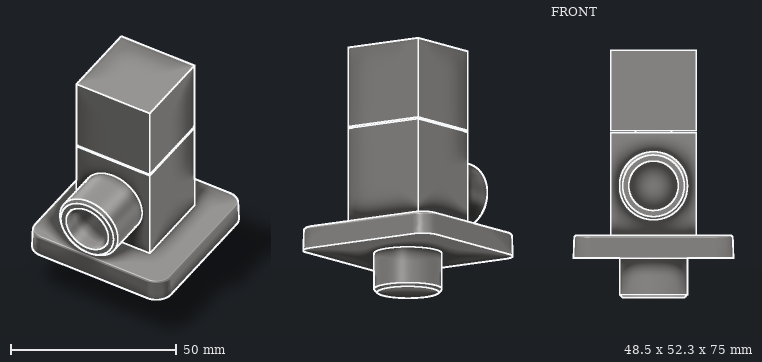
import cadquery as cq


flange_side = 48.5
flange_height = 7.0
flange_corner_radius = 5.25
flange_draft_angle = 2.0
flange_edge_radius = 1.0

block_side = 26.0
block_top = 38.0
knob_gap = 0.5
knob_top = 63.0
stem_diameter = 11.0

total_height = 75.0
total_depth = 52.3

pipe_diameter = 20.6
pipe_chamfer = 1.0
inlet_length = total_height - knob_top
outlet_reach = total_depth - flange_side / 2
outlet_height = 21.9
outlet_length = outlet_reach - block_side / 2
outlet_bore_diameter = 15.0


def make_pipe(length):
    """Plain pipe end along +Z with a chamfered tip."""
    pipe = cq.Workplane("XY").circle(pipe_diameter / 2).extrude(length)
    return pipe.faces(">Z").edges().chamfer(pipe_chamfer)


def make_outlet():
    """Side pipe, bored as deep as the pipe is long."""
    bore = cq.Workplane("XY").circle(outlet_bore_diameter / 2).extrude(outlet_length)
    outlet = make_pipe(outlet_length).cut(bore)
    return outlet.rotate((0, 0, 0), (1, 0, 0), 90).translate((0, -block_side / 2, outlet_height))


def make_flange():
    """Drafted square plate with rounded corners and a rounded top edge."""
    outline = cq.Sketch().rect(flange_side, flange_side).vertices().fillet(flange_corner_radius)
    plate = cq.Workplane("XY").placeSketch(outline).extrude(flange_height, taper=flange_draft_angle)
    return plate.faces(">Z").edges().fillet(flange_edge_radius)


def make_valve_body():
    """Flange, block, stem and both pipe ends as one solid."""
    block = (
        cq.Workplane("XY")
        .workplane(offset=flange_height)
        .rect(block_side, block_side)
        .extrude(block_top - flange_height)
    )
    stem = cq.Workplane("XY").workplane(offset=block_top).circle(stem_diameter / 2).extrude(knob_gap)
    inlet = make_pipe(inlet_length).rotate((0, 0, 0), (1, 0, 0), 180)
    return make_flange().union(block).union(stem).union(inlet).union(make_outlet())


def make_knob():
    """Square knob resting on the stem, clear of the block."""
    knob_bottom = block_top + knob_gap
    return (
        cq.Workplane("XY")
        .workplane(offset=knob_bottom)
        .rect(block_side, block_side)
        .extrude(knob_top - knob_bottom)
    )


valve_body = make_valve_body()
knob = make_knob()

result = cq.Compound.makeCompound([valve_body.val(), knob.val()])